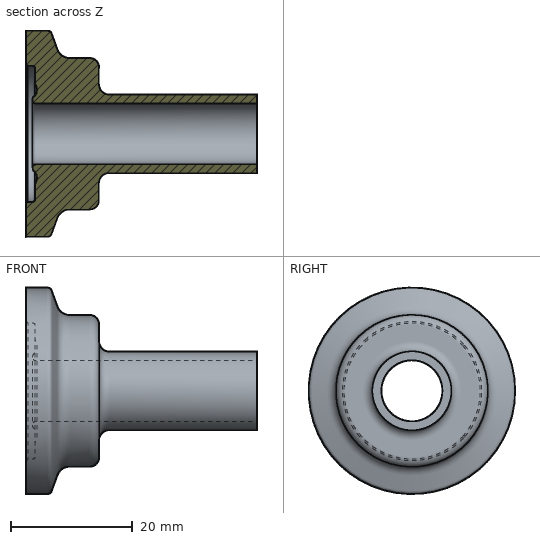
import cadquery as cq
import math


length = 38.0
flange_radius = 34.0 / 2
hub_radius = 25.0 / 2
tube_radius = 13.0 / 2
flange_rim_width = 3.5
hub_end_x = 12.05
rim_round = 0.8
hub_root_round = 2.1
hub_edge_round = 1.6
tube_root_round = 1.6
back_slope = math.radians(20)

bore_radius = 10.0 / 2
recess_radius = 22.4 / 2
recess_depth = 1.5
mouth_chamfer = 0.25
recess_root_round = 0.4

ring_top_x = 1.05
ring_flat_outer_radius = 5.75
ring_round = 0.5
groove_round = 1.5
groove_outer_radius = 8.45
groove_edge_round = 1.0


def arc_middle(center, start, end):
    """Middle point of the shorter arc from start to end about center."""
    radius = math.dist(center, start)
    toward = [(a + b) / 2 - c for a, b, c in zip(start, end, center)]
    reach = math.hypot(*toward)
    return tuple(c + t * radius / reach for c, t in zip(center, toward))


def add_arc(profile, center, start, end):
    return profile.threePointArc(arc_middle(center, start, end), end)


def point_between(start, end, distance):
    """Point at the given distance from start toward end."""
    fraction = distance / math.dist(start, end)
    return tuple(a + (b - a) * fraction for a, b in zip(start, end))


def circle_meeting(first, first_reach, second, second_reach):
    """Point at the given reaches from two centers, on the side nearer the flange face."""
    gap = math.dist(first, second)
    along = (gap**2 + first_reach**2 - second_reach**2) / (2 * gap)
    offset = math.sqrt(first_reach**2 - along**2)
    foot = point_between(first, second, along)
    axial = (second[0] - first[0]) / gap
    radial = (second[1] - first[1]) / gap
    return foot[0] - offset * radial, foot[1] + offset * axial


slope_sin = math.sin(back_slope)
slope_cos = math.cos(back_slope)
rim_center = (flange_rim_width, flange_radius - rim_round)
rim_start = (flange_rim_width, flange_radius)
rim_end = (rim_center[0] + rim_round * slope_cos, rim_center[1] + rim_round * slope_sin)
root_center_radius = hub_radius + hub_root_round
root_start_radius = root_center_radius - hub_root_round * slope_sin
root_start_x = rim_end[0] + (rim_end[1] - root_start_radius) * math.tan(back_slope)
root_center = (root_start_x + hub_root_round * slope_cos, root_center_radius)
root_start = (root_start_x, root_start_radius)
root_end = (root_center[0], hub_radius)

hub_edge_center = (hub_end_x - hub_edge_round, hub_radius - hub_edge_round)
hub_edge_start = (hub_edge_center[0], hub_radius)
hub_edge_end = (hub_end_x, hub_edge_center[1])
tube_root_center = (hub_end_x + tube_root_round, tube_radius + tube_root_round)
tube_root_start = (hub_end_x, tube_root_center[1])
tube_root_end = (tube_root_center[0], tube_radius)

lip_center = (ring_top_x + ring_round, bore_radius + ring_round)
lip_start = (lip_center[0], bore_radius)
lip_end = (ring_top_x, lip_center[1])
ring_center = (ring_top_x + ring_round, ring_flat_outer_radius)
ring_start = (ring_top_x, ring_flat_outer_radius)
groove_edge_center = (recess_depth + groove_edge_round, groove_outer_radius)
groove_center = circle_meeting(
    ring_center, ring_round + groove_round, groove_edge_center, groove_edge_round + groove_round
)
groove_start = point_between(ring_center, groove_center, ring_round)
groove_end = point_between(groove_edge_center, groove_center, groove_edge_round)
floor_start = (recess_depth, groove_outer_radius)

wall_root_center = (recess_depth - recess_root_round, recess_radius - recess_root_round)
wall_root_start = (recess_depth, wall_root_center[1])
wall_root_end = (wall_root_center[0], recess_radius)

profile = cq.Workplane("XY").moveTo(0, flange_radius).lineTo(*rim_start)
profile = add_arc(profile, rim_center, rim_start, rim_end).lineTo(*root_start)
profile = add_arc(profile, root_center, root_start, root_end).lineTo(*hub_edge_start)
profile = add_arc(profile, hub_edge_center, hub_edge_start, hub_edge_end).lineTo(*tube_root_start)
profile = add_arc(profile, tube_root_center, tube_root_start, tube_root_end)
profile = profile.lineTo(length, tube_radius).lineTo(length, bore_radius).lineTo(*lip_start)
profile = add_arc(profile, lip_center, lip_start, lip_end).lineTo(*ring_start)
profile = add_arc(profile, ring_center, ring_start, groove_start)
profile = add_arc(profile, groove_center, groove_start, groove_end)
profile = add_arc(profile, groove_edge_center, groove_end, floor_start).lineTo(*wall_root_start)
profile = add_arc(profile, wall_root_center, wall_root_start, wall_root_end)
profile = profile.lineTo(mouth_chamfer, recess_radius).lineTo(0, recess_radius + mouth_chamfer).close()

result = profile.revolve(360, (0, 0, 0), (1, 0, 0))